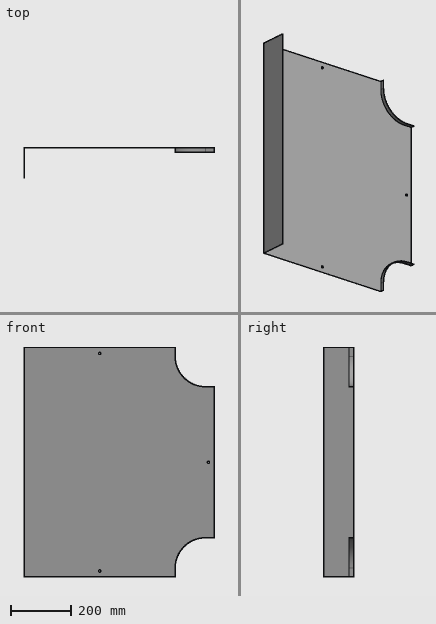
import cadquery as cq

width = 632.0
depth = 100.0
height = 762.0
sheet = 1.5

notch_size = 129.5
notch_radius = 100.0
lip_depth = 15.0

hole_diameter = 7.0
hole_inset = 20.0

step_x = width - notch_size
half_height = height / 2
shoulder_z = half_height - notch_size


def panel_profile(inset):
    """Panel outline in XZ, with the notch edges moved into the panel by inset."""
    edge_x = step_x - inset
    edge_z = shoulder_z - inset
    radius = notch_radius + inset
    arc_x = step_x + notch_radius
    arc_z = shoulder_z + notch_radius
    mid_x = arc_x - radius / 2**0.5
    mid_z = arc_z - radius / 2**0.5
    return (
        cq.Workplane("XZ")
        .moveTo(0, -half_height)
        .lineTo(edge_x, -half_height)
        .lineTo(edge_x, -arc_z)
        .threePointArc((mid_x, -mid_z), (arc_x, -edge_z))
        .lineTo(width, -edge_z)
        .lineTo(width, edge_z)
        .lineTo(arc_x, edge_z)
        .threePointArc((mid_x, mid_z), (edge_x, arc_z))
        .lineTo(edge_x, half_height)
        .lineTo(0, half_height)
        .close()
    )


panel = panel_profile(0).extrude(sheet)

lips = panel_profile(0).extrude(lip_depth).cut(panel_profile(sheet).extrude(lip_depth))

flange = cq.Workplane("XY").box(sheet, depth, height, centered=(False, False, True))
flange = flange.translate((0, -depth, 0))

hole_places = [
    (step_x / 2, half_height - hole_inset),
    (step_x / 2, hole_inset - half_height),
    (width - hole_inset, 0),
]
holes = cq.Workplane("XZ").pushPoints(hole_places).circle(hole_diameter / 2).extrude(sheet)

result = panel.union(lips).union(flange).cut(holes)